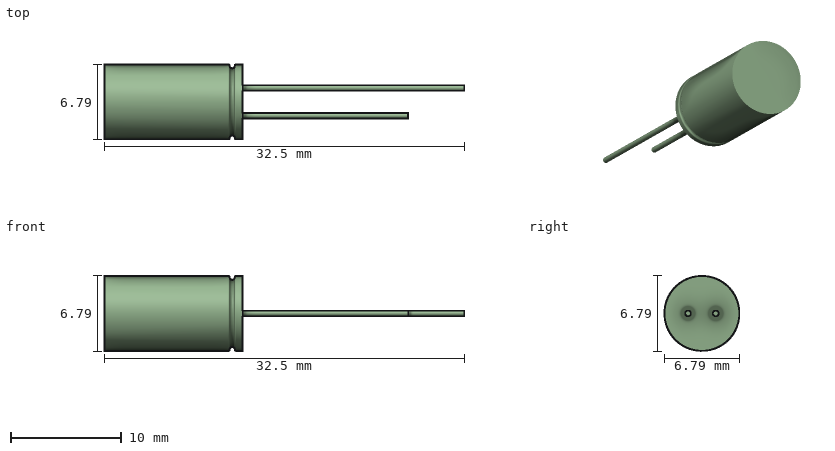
import cadquery as cq
import math

total_length = 32.5
can_length = 12.5
can_radius = 3.397

groove_center = 11.55
groove_round_radius = 0.23
rim_round_radius = 0.13
groove_floor_radius = can_radius - groove_round_radius - rim_round_radius

lead_diameter = 0.52
lead_pitch = 2.5
short_lead_end = 27.45

closed_end = -total_length / 2
lead_face = closed_end + can_length


def make_can():
    """Turned can whose crimp groove has a round bottom and rounded shoulders."""
    center = closed_end + groove_center
    diagonal = math.sqrt(0.5)
    shoulder_center_radius = can_radius - rim_round_radius
    shoulder_offset = groove_round_radius + rim_round_radius
    left_shoulder = center - shoulder_offset
    right_shoulder = center + shoulder_offset
    shoulder_reach = rim_round_radius * diagonal
    bottom_reach = groove_round_radius * diagonal

    profile = (
        cq.Workplane("XY")
        .moveTo(closed_end, 0)
        .lineTo(closed_end, can_radius)
        .lineTo(left_shoulder, can_radius)
        .threePointArc(
            (left_shoulder + shoulder_reach, shoulder_center_radius + shoulder_reach),
            (center - groove_round_radius, shoulder_center_radius),
        )
        .threePointArc(
            (center - bottom_reach, shoulder_center_radius - bottom_reach),
            (center, groove_floor_radius),
        )
        .threePointArc(
            (center + bottom_reach, shoulder_center_radius - bottom_reach),
            (center + groove_round_radius, shoulder_center_radius),
        )
        .threePointArc(
            (right_shoulder - shoulder_reach, shoulder_center_radius + shoulder_reach),
            (right_shoulder, can_radius),
        )
        .lineTo(lead_face, can_radius)
        .lineTo(lead_face, 0)
        .close()
    )
    return profile.revolve(360, (0, 0, 0), (1, 0, 0))


def make_lead(y_position, end_distance):
    """Round lead from the can face to a given distance from the closed end."""
    return (
        cq.Workplane("YZ", origin=(lead_face, y_position, 0))
        .circle(lead_diameter / 2)
        .extrude(end_distance - can_length)
    )


can = make_can()

lead_layout = [(lead_pitch / 2, total_length), (-lead_pitch / 2, short_lead_end)]
leads = [make_lead(y_position, end_distance) for y_position, end_distance in lead_layout]

result = cq.Compound.makeCompound([can.val(), *[lead.val() for lead in leads]])